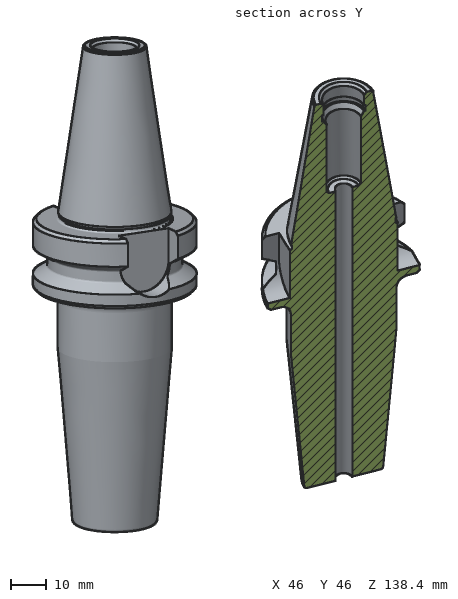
import cadquery as cq
import math

LENGTH = 138.4
GAUGE_Z = 90.0
FLANGE_TOP_Z = 88.0
FLANGE_BOTTOM_Z = 68.0

TAPER_RATIO = 7 / 24
GAUGE_RADIUS = 15.9
SHANK_CHAMFER = 0.4
RELIEF_DEPTH = 0.3
RELIEF_LEAD = 0.8
RELIEF_FILLET = 0.7
RELIEF_RADIUS = GAUGE_RADIUS - RELIEF_DEPTH
SHANK_TOP_RADIUS = GAUGE_RADIUS - (LENGTH - GAUGE_Z) * TAPER_RATIO / 2

FLANGE_RADIUS = 23.0
FLANGE_CHAMFER = 1.0
NECK_RADIUS = 19.0
GROOVE_CENTRE_Z = 76.3
NECK_WIDTH = 3.5
NECK_FILLET = 0.5
GROOVE_FLANK_ANGLE = 60.0
GROOVE_FLANK_RISE = (FLANGE_RADIUS - NECK_RADIUS) / math.tan(math.radians(GROOVE_FLANK_ANGLE))
NECK_TOP_Z = GROOVE_CENTRE_Z + NECK_WIDTH / 2
NECK_BOTTOM_Z = GROOVE_CENTRE_Z - NECK_WIDTH / 2

BODY_RADIUS = 16.0
BODY_FILLET = 3.0
CONE_TOP_Z = 50.7
NOSE_RADIUS = 11.9
NOSE_FILLET = 1.0

SLOT_WIDTH = 16.0
SLOT_FLOOR_X = 16.3
SLOT_BOTTOM_Z = 70.7
SLOT_CUT_LENGTH = FLANGE_RADIUS

PILOT_RADIUS = 6.1
PILOT_CHAMFER = 0.8
PILOT_END_Z = LENGTH - 4.7
UNDERCUT_RADIUS = 6.5
UNDERCUT_END_Z = PILOT_END_Z - 2.0
THREAD_RADIUS = 5.1
CONE_HALF_ANGLE = 30.0
CONE_END_Z = UNDERCUT_END_Z - (PILOT_RADIUS - THREAD_RADIUS) / math.tan(math.radians(CONE_HALF_ANGLE))
THREAD_FLOOR_Z = LENGTH - 33.2
FLOOR_BEVEL = 0.7
COOLANT_RADIUS = 2.5

AXIS_TOLERANCE = 0.1


def fillet_circles(body, low_z, high_z, radius):
    """Round every full circular edge whose centre lies between two heights."""
    centre_box = cq.selectors.BoxSelector(
        (-AXIS_TOLERANCE, -AXIS_TOLERANCE, low_z - AXIS_TOLERANCE),
        (AXIS_TOLERANCE, AXIS_TOLERANCE, high_z + AXIS_TOLERANCE),
    )
    return body.edges(centre_box).fillet(radius)


def make_body():
    """Revolved outer shape, from the nose up to the shank end."""
    shank_chamfer_z = LENGTH - SHANK_CHAMFER
    profile = (
        cq.Workplane("XZ")
        .lineTo(NOSE_RADIUS, 0)
        .lineTo(BODY_RADIUS, CONE_TOP_Z)
        .lineTo(BODY_RADIUS, FLANGE_BOTTOM_Z - BODY_FILLET)
        .radiusArc((BODY_RADIUS + BODY_FILLET, FLANGE_BOTTOM_Z), BODY_FILLET)
        .lineTo(FLANGE_RADIUS - FLANGE_CHAMFER, FLANGE_BOTTOM_Z)
        .lineTo(FLANGE_RADIUS, FLANGE_BOTTOM_Z + FLANGE_CHAMFER)
        .lineTo(FLANGE_RADIUS, NECK_BOTTOM_Z - GROOVE_FLANK_RISE)
        .lineTo(NECK_RADIUS, NECK_BOTTOM_Z)
        .lineTo(NECK_RADIUS, NECK_TOP_Z)
        .lineTo(FLANGE_RADIUS, NECK_TOP_Z + GROOVE_FLANK_RISE)
        .lineTo(FLANGE_RADIUS, FLANGE_TOP_Z - FLANGE_CHAMFER)
        .lineTo(FLANGE_RADIUS - FLANGE_CHAMFER, FLANGE_TOP_Z)
        .lineTo(RELIEF_RADIUS + RELIEF_FILLET, FLANGE_TOP_Z)
        .radiusArc((RELIEF_RADIUS, FLANGE_TOP_Z + RELIEF_FILLET), RELIEF_FILLET)
        .lineTo(RELIEF_RADIUS, GAUGE_Z - RELIEF_LEAD)
        .lineTo(GAUGE_RADIUS, GAUGE_Z)
        .lineTo(SHANK_TOP_RADIUS + SHANK_CHAMFER * TAPER_RATIO / 2, shank_chamfer_z)
        .lineTo(SHANK_TOP_RADIUS - SHANK_CHAMFER, LENGTH)
        .lineTo(0, LENGTH)
        .close()
    )
    body = profile.revolve(360, (0, 0, 0), (0, 1, 0))
    body = fillet_circles(body, 0, 0, NOSE_FILLET)
    body = fillet_circles(body, NECK_BOTTOM_Z, NECK_TOP_Z, NECK_FILLET)
    return body


def make_bore():
    """Revolved cutter: chamfered pilot, undercut, cone, thread bore and coolant hole."""
    profile = (
        cq.Workplane("XZ")
        .lineTo(COOLANT_RADIUS, 0)
        .lineTo(COOLANT_RADIUS, THREAD_FLOOR_Z)
        .lineTo(THREAD_RADIUS - FLOOR_BEVEL, THREAD_FLOOR_Z)
        .lineTo(THREAD_RADIUS, THREAD_FLOOR_Z + FLOOR_BEVEL)
        .lineTo(THREAD_RADIUS, CONE_END_Z)
        .lineTo(PILOT_RADIUS, UNDERCUT_END_Z)
        .lineTo(UNDERCUT_RADIUS, UNDERCUT_END_Z)
        .lineTo(UNDERCUT_RADIUS, PILOT_END_Z)
        .lineTo(PILOT_RADIUS, PILOT_END_Z)
        .lineTo(PILOT_RADIUS, LENGTH - PILOT_CHAMFER)
        .lineTo(PILOT_RADIUS + PILOT_CHAMFER, LENGTH)
        .lineTo(0, LENGTH)
        .close()
    )
    return profile.revolve(360, (0, 0, 0), (0, 1, 0))


def make_drive_slot(side):
    """Round-bottomed slot cutter on the +X (side = 1) or -X (side = -1) flank."""
    half_width = SLOT_WIDTH / 2
    arc_centre_z = SLOT_BOTTOM_Z + half_width
    return (
        cq.Workplane("YZ", origin=(side * SLOT_FLOOR_X, 0, 0))
        .moveTo(-half_width, FLANGE_TOP_Z)
        .lineTo(-half_width, arc_centre_z)
        .threePointArc((0, SLOT_BOTTOM_Z), (half_width, arc_centre_z))
        .lineTo(half_width, FLANGE_TOP_Z)
        .close()
        .extrude(side * SLOT_CUT_LENGTH)
    )


result = make_body().cut(make_bore())
for slot_side in (-1, 1):
    result = result.cut(make_drive_slot(slot_side))